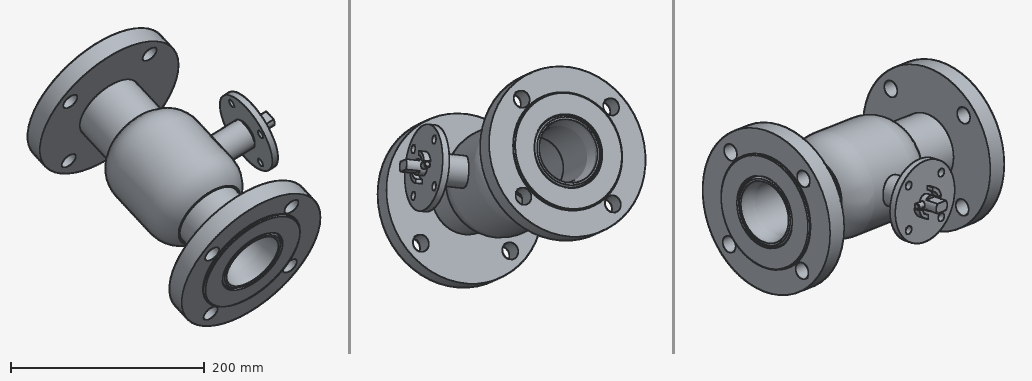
import cadquery as cq
import math


half_length = 135.0
raised_face_height = 2.7
flange_thickness = 21.3
flange_outer_x = half_length - raised_face_height
flange_inner_x = flange_outer_x - flange_thickness

flange_radius = 179.5 / 2
raised_face_radius = 62.5
raised_face_chamfer = 1.4
weld_recess_radius = 39.0
weld_recess_depth = 2.7
bolt_count = 4
bolt_circle_radius = 145.0 / 2
bolt_hole_diameter = 18.0
bolt_angle = 43.9

pipe_radius = 38.0
pipe_bore_radius = 30.0
pipe_mouth_radius = 33.5
pipe_end_x = half_length - 0.3
pipe_bevel = 2.2
mouth_straight_length = 5.5
mouth_taper_length = 12.2

housing_radius = 57.2
housing_straight_half = 30.0
housing_half_length = 60.8
housing_end_radius = 40.0

neck_radius = 33.8 / 2
neck_top_y = 91.8
spigot_radius = 15.0

plate_radius = 90.2 / 2
plate_bottom_y = 93.2
plate_thickness = 7.5
plate_top_y = plate_bottom_y + plate_thickness
plate_hole_count = 4
plate_hole_angle = 45
plate_hole_circle_radius = 70.0 / 2
plate_hole_diameter = 9.0
stop_height = 7.5
stop_inner_radius = 12.5
stop_top_y = plate_top_y + stop_height

stem_radius = 8.5
stem_flat_distance = 5.5
stem_top_y = 124.2
pin_radius = 3.5
pin_chamfer = 0.8
pin_y = plate_top_y + stop_height / 2


def cylinder_x(radius, x_start, x_end):
    """Cylinder around the flow axis."""
    return cq.Workplane("YZ").workplane(offset=x_start).circle(radius).extrude(x_end - x_start)


def cylinder_y(radius, y_start, y_end):
    """Cylinder around the stem axis."""
    return cq.Workplane("XZ").workplane(offset=-y_start).circle(radius).extrude(y_start - y_end)


def revolve_x(profile):
    """Full turn of a closed profile, drawn as (x, radius), around the flow axis."""
    return profile.close().revolve(360, (0, 0, 0), (1, 0, 0))


def mirror_side(body, side):
    """The body itself for side +1, its mirror image in X = 0 for side -1."""
    return body if side > 0 else body.mirror("YZ")


def make_flange(side):
    """Drilled flange with a chamfered raised face and a shallow weld recess around the pipe end."""
    outline = (
        cq.Workplane("XY")
        .moveTo(flange_inner_x, pipe_radius)
        .lineTo(flange_inner_x, flange_radius)
        .lineTo(flange_outer_x, flange_radius)
        .lineTo(flange_outer_x, raised_face_radius)
        .lineTo(half_length - raised_face_chamfer, raised_face_radius)
        .lineTo(half_length, raised_face_radius - raised_face_chamfer)
        .lineTo(half_length, weld_recess_radius)
        .lineTo(half_length - weld_recess_depth, weld_recess_radius)
        .lineTo(half_length - weld_recess_depth, pipe_radius)
    )
    bolt_holes = (
        cq.Workplane("YZ")
        .workplane(offset=flange_inner_x)
        .polarArray(bolt_circle_radius, bolt_angle, 360, bolt_count)
        .circle(bolt_hole_diameter / 2)
        .extrude(flange_thickness)
    )
    return mirror_side(revolve_x(outline).cut(bolt_holes), side)


def make_pipe(side):
    """Pipe from the housing to the flange, bevelled outside and tapered inside its open end."""
    taper_start_x = pipe_end_x - mouth_straight_length
    outline = (
        cq.Workplane("XY")
        .moveTo(housing_half_length, pipe_bore_radius)
        .lineTo(housing_half_length, pipe_radius)
        .lineTo(pipe_end_x - pipe_bevel, pipe_radius)
        .lineTo(pipe_end_x, pipe_radius - pipe_bevel)
        .lineTo(pipe_end_x, pipe_mouth_radius)
        .lineTo(taper_start_x, pipe_mouth_radius)
        .lineTo(taper_start_x - mouth_taper_length, pipe_bore_radius)
    )
    return mirror_side(revolve_x(outline), side)


def make_housing():
    """Barrel with a domed shoulder at each end and a straight bore."""
    run = housing_half_length - housing_straight_half
    drop = housing_radius - housing_end_radius
    arc_radius = (run**2 + drop**2) / (2 * drop)
    half_sweep = math.asin(run / arc_radius) / 2
    mid_x = housing_straight_half + arc_radius * math.sin(half_sweep)
    mid_radius = housing_radius - arc_radius * (1 - math.cos(half_sweep))
    outline = (
        cq.Workplane("XY")
        .moveTo(-housing_half_length, pipe_bore_radius)
        .lineTo(-housing_half_length, housing_end_radius)
        .threePointArc((-mid_x, mid_radius), (-housing_straight_half, housing_radius))
        .lineTo(housing_straight_half, housing_radius)
        .threePointArc((mid_x, mid_radius), (housing_half_length, housing_end_radius))
        .lineTo(housing_half_length, pipe_bore_radius)
    )
    return revolve_x(outline)


def make_neck():
    """Neck saddled on the housing, with a spigot under the plate and a bore for the stem."""
    barrel = cylinder_y(neck_radius, 0, neck_top_y)
    spigot = cylinder_y(spigot_radius, neck_top_y, plate_bottom_y)
    bore = cylinder_y(stem_radius, 0, plate_bottom_y)
    saddle = cylinder_x(housing_radius, -neck_radius, neck_radius)
    return barrel.union(spigot).cut(bore).cut(saddle)


def make_stop(direction):
    """Quarter ring that stops the cross pin; direction +1 lies at -X +Z, -1 at +X -Z."""
    ring = cylinder_y(neck_radius, plate_top_y, stop_top_y)
    ring = ring.cut(cylinder_y(stop_inner_radius, plate_top_y, stop_top_y))
    center_offset = pin_radius + neck_radius / 2
    sector = cq.Workplane("XY").box(neck_radius, stop_height, neck_radius)
    sector = sector.translate((-direction * center_offset, pin_y, direction * center_offset))
    return ring.intersect(sector)


def make_plate():
    """Actuator plate with mounting holes, a stem hole and two opposite stops."""
    plate = cylinder_y(plate_radius, plate_bottom_y, plate_top_y)
    holes = (
        cq.Workplane("XZ")
        .workplane(offset=-plate_bottom_y)
        .polarArray(plate_hole_circle_radius, plate_hole_angle, 360, plate_hole_count)
        .circle(plate_hole_diameter / 2)
        .extrude(-plate_thickness)
    )
    plate = plate.cut(holes).cut(cylinder_y(stem_radius, plate_bottom_y, plate_top_y))
    for direction in (1, -1):
        plate = plate.union(make_stop(direction))
    return plate


def make_pin():
    """Cross pin through the stem, chamfered at both ends."""
    pin = cylinder_x(pin_radius, -neck_radius, neck_radius)
    return pin.faces("<X or >X").chamfer(pin_chamfer).translate((0, pin_y, 0))


def make_stem():
    """Round stem standing on the housing, with two flats above the stops and a cross hole."""
    round_part = cylinder_y(stem_radius, housing_radius, stop_top_y)
    drive_height = stem_top_y - stop_top_y
    drive = cylinder_y(stem_radius, stop_top_y, stem_top_y)
    flats = cq.Workplane("XY").box(2 * stem_radius, drive_height, 2 * stem_flat_distance)
    flats = flats.translate((0, stop_top_y + drive_height / 2, 0))
    return round_part.union(drive.intersect(flats)).cut(make_pin())


housing = make_housing()
neck = make_neck()
plate = make_plate()
stem = make_stem()
pin = make_pin()
sides = (-1, 1)
flanges = [make_flange(side).val() for side in sides]
pipes = [make_pipe(side).val() for side in sides]

result = cq.Compound.makeCompound(
    [housing.val(), neck.val(), plate.val(), stem.val(), pin.val(), *flanges, *pipes]
)